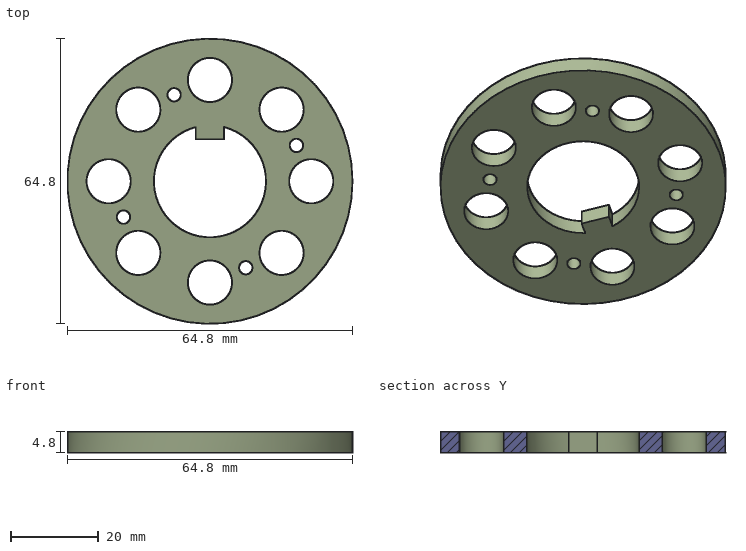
import cadquery as cq

disc_diameter = 64.85
disc_thickness = 4.8
bore_diameter = 25.4
key_width = 6.5
key_tip_distance = 9.55

large_hole_diameter = 10.0
large_hole_circle_radius = 23.0
large_hole_count = 8

small_hole_diameter = 3.0
small_hole_circle_radius = 21.3
small_hole_count = 4
small_hole_start_angle = 360 / large_hole_count / 2


def drill_ring(body, diameter, circle_radius, count, start_angle=0):
    """Drill equally spaced through holes on a circle around the disc axis."""
    return (
        body.faces(">Z")
        .workplane(origin=(0, 0, 0))
        .polarArray(circle_radius, start_angle, 360, count)
        .hole(diameter)
    )


def make_bore():
    """Bore volume with a gap on the +Y side that leaves the key standing."""
    bore = cq.Workplane("XY").circle(bore_diameter / 2).extrude(disc_thickness)
    key_space = (
        cq.Workplane("XY")
        .center(0, key_tip_distance)
        .rect(key_width, bore_diameter, centered=(True, False))
        .extrude(disc_thickness)
    )
    return bore.cut(key_space)


disc = cq.Workplane("XY").circle(disc_diameter / 2).extrude(disc_thickness)
disc = disc.cut(make_bore())
disc = drill_ring(disc, large_hole_diameter, large_hole_circle_radius, large_hole_count)
result = drill_ring(
    disc, small_hole_diameter, small_hole_circle_radius, small_hole_count, small_hole_start_angle
)